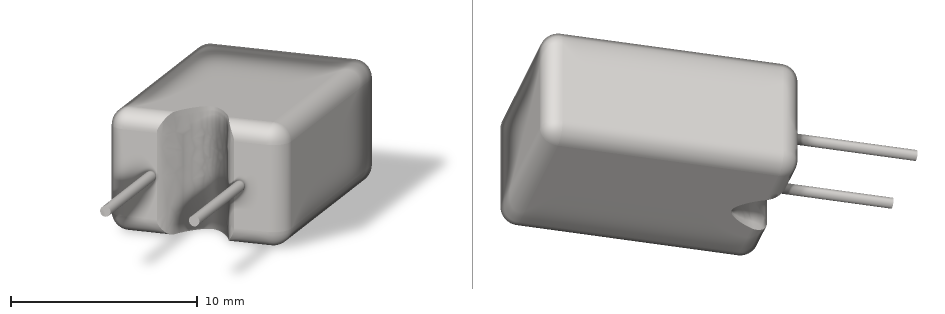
import cadquery as cq

total_length = 21.22
body_width = 10.16
body_height = 6.85
lead_length = 7.0
body_length = total_length - lead_length
edge_radius = 1.0

notch_depth = 2.55
notch_mouth_half_width = 2.2
notch_flank_half_width = 1.5
notch_flank_depth = 1.02
notch_shoulder_half_width = 0.93
notch_shoulder_depth = 1.9
notch_mouth_slope = 0.5

lead_diameter = 0.6
lead_pitch = 5.07



def make_notch_cutter():
    """Bell-shaped prism running through the full height of the housing."""
    left_side = [
        (-notch_mouth_half_width, 0),
        (-notch_flank_half_width, notch_flank_depth),
        (-notch_shoulder_half_width, notch_shoulder_depth),
    ]
    right_side = [(-x, y) for x, y in reversed(left_side)]
    bell_points = left_side + [(0, notch_depth)] + right_side
    end_tangents = [(1, notch_mouth_slope), (1, -notch_mouth_slope)]
    return (
        cq.Workplane("XY", origin=(0, 0, -body_height / 2))
        .moveTo(*bell_points[0])
        .spline(bell_points[1:], tangents=end_tangents, includeCurrent=True)
        .close()
        .extrude(body_height)
    )


def make_housing():
    """Block rounded on every edge, with the notch between the leads."""
    block = (
        cq.Workplane("XY")
        .box(body_width, body_length, body_height)
        .edges()
        .fillet(edge_radius)
        .translate((0, body_length / 2, 0))
    )
    return block.cut(make_notch_cutter())


def make_lead(x):
    """Straight wire standing on the lead end face of the housing."""
    return (
        cq.Workplane("XZ")
        .center(x, 0)
        .circle(lead_diameter / 2)
        .extrude(lead_length)
    )


housing = make_housing()
leads = [make_lead(side * lead_pitch / 2) for side in (-1, 1)]

result = cq.Compound.makeCompound([housing.solids().val(), *[lead.val() for lead in leads]])